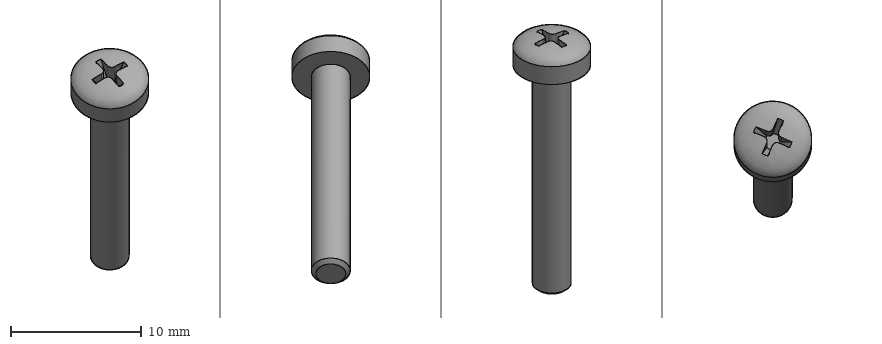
import cadquery as cq
shank_diameter = 3.0
shank_length = 20.0
tip_chamfer_width = 0.35
tip_chamfer_height = 0.3

head_diameter = 6.0
head_height = 2.4
head_rim_height = 1.6
crown_flat_reach = 1.3
crown_rim_pull_in = 0.4
crown_rim_pull_up = 0.74

recess_span = 3.12
recess_wing_width = 0.48
recess_corner_radius = 0.38
recess_floor_radius = 0.64
recess_depth = 1.7
recess_cutter_overrun = 0.3

shank_radius = shank_diameter / 2
head_radius = head_diameter / 2


def make_shank():
    """Plain cylinder with a chamfered tip."""
    shank = cq.Workplane("XY").circle(shank_radius).extrude(-shank_length)
    return shank.faces("<Z").chamfer(tip_chamfer_height, tip_chamfer_width)


def make_head():
    """Revolve the straight rim and the crown, one curve that is level on the axis."""
    crown_curve = [
        (0, head_height),
        (crown_flat_reach, head_height),
        (head_radius - crown_rim_pull_in, head_rim_height + crown_rim_pull_up),
        (head_radius, head_rim_height),
    ]
    profile = (
        cq.Workplane("XZ")
        .moveTo(0, head_height)
        .bezier(crown_curve)
        .lineTo(head_radius, 0)
        .lineTo(0, 0)
        .close()
    )
    return profile.revolve(360, (0, 0, 0), (0, 1, 0))


def make_recess():
    """Cross with rounded inner corners, its wing ends trimmed by a cone narrowing to the floor."""
    floor_height = head_height - recess_depth
    floor_plane = cq.Workplane("XY", origin=(0, 0, floor_height))

    cutter_height = recess_depth + recess_cutter_overrun
    cone_slope = (recess_span / 2 - recess_floor_radius) / recess_depth
    cone_top_radius = recess_floor_radius + cone_slope * cutter_height
    cone = cq.Solid.makeCone(
        recess_floor_radius, cone_top_radius, cutter_height, pnt=cq.Vector(0, 0, floor_height)
    )

    bar_length = head_diameter
    bar_x = floor_plane.rect(bar_length, recess_wing_width).extrude(cutter_height)
    bar_y = floor_plane.rect(recess_wing_width, bar_length).extrude(cutter_height)
    inner_corners = cq.selectors.BoxSelector(
        (-recess_wing_width, -recess_wing_width, floor_height),
        (recess_wing_width, recess_wing_width, floor_height + cutter_height),
    )
    cross = bar_x.union(bar_y).edges("|Z").edges(inner_corners).fillet(recess_corner_radius)
    return cross.intersect(cq.Workplane(cone))


result = make_shank().union(make_head()).cut(make_recess())